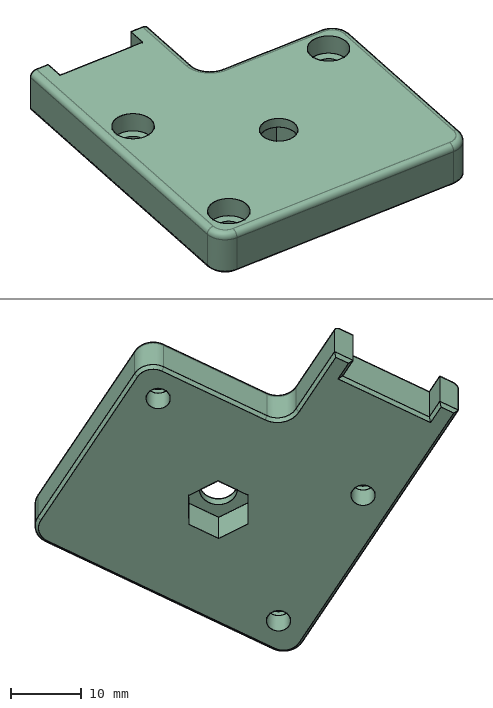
import cadquery as cq
import math

length = 47.9
width = 42.8
height = 7.0

body_left = 14.1
arm_width = 20.05
corner_radius = 3.0
top_fillet = 1.0
bottom_chamfer = 0.5

notch_depth = 3.0
notch_side_wall = 3.0

body_center = ((body_left + length) / 2, width / 2)
screw_spacing_x = 24.3
screw_spacing_y = 33.2
screw_diameter = 3.4
counterbore_diameter = 6.0
counterbore_depth = 3.0

center_hole_diameter = 5.4
roof_thickness = 1.55
hex_across_flats = 8.4


def make_body():
    """Filleted and notched outline with a rounded top rim and a chamfered bottom rim."""
    outline = [
        (0, 0), (length, 0), (length, width),
        (body_left, width), (body_left, arm_width), (0, arm_width),
    ]
    body = cq.Workplane("XY").polyline(outline).close().extrude(height)
    body = body.edges("|Z and (not <X)").fillet(corner_radius)
    body = body.faces(">Z").edges("not <X").fillet(top_fillet)
    body = body.cut(make_notch())
    return body.faces("<Z").edges().chamfer(bottom_chamfer)


def make_notch():
    notch_width = arm_width - 2 * notch_side_wall
    return (
        cq.Workplane("XY")
        .box(notch_depth, notch_width, height, centered=False)
        .translate((0, notch_side_wall, 0))
    )


def make_screw_hole(side_x, side_y):
    """Counterbored through hole at one corner of the screw pattern."""
    x = body_center[0] + side_x * screw_spacing_x / 2
    y = body_center[1] + side_y * screw_spacing_y / 2
    shank = cq.Workplane("XY").center(x, y).circle(screw_diameter / 2).extrude(height)
    head = (
        cq.Workplane("XY", origin=(x, y, height - counterbore_depth))
        .circle(counterbore_diameter / 2)
        .extrude(counterbore_depth)
    )
    return shank.union(head)


def make_center_opening():
    hole = (
        cq.Workplane("XY")
        .center(*body_center)
        .circle(center_hole_diameter / 2)
        .extrude(height)
    )
    hex_across_corners = hex_across_flats / math.cos(math.pi / 6)
    pocket = (
        cq.Workplane("XY")
        .center(*body_center)
        .transformed(rotate=(0, 0, 30))
        .polygon(6, hex_across_corners)
        .extrude(height - roof_thickness)
    )
    return hole.union(pocket)


result = make_body().cut(make_center_opening())
for side_x, side_y in [(-1, 1), (-1, -1), (1, -1)]:
    result = result.cut(make_screw_hole(side_x, side_y))